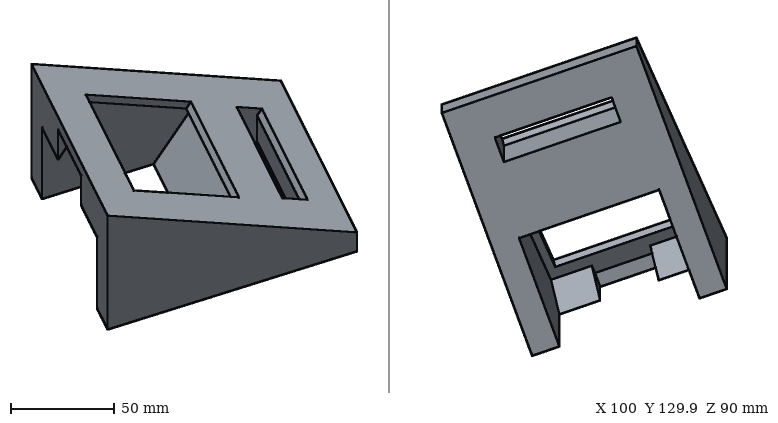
import cadquery as cq
import math

width = 100.0
depth = 129.9
height = 90.0
slope_angle = 30.0
slope_tan = math.tan(math.radians(slope_angle))
slope_cos = math.cos(math.radians(slope_angle))
slope_sin = math.sin(math.radians(slope_angle))
rear_height = height - depth * slope_tan

plate_thickness = 5.0
plate_bottom = height - plate_thickness / slope_cos
window_width = 63.0
window_length = 63.1
window_start = 24.3
slot_width = 60.0
slot_length = 15.1
slot_start = 114.3

cavity_width = 72.0
cavity_length = 78.3
cavity_start = 16.9
cavity_depth = 129.9

notch_width = 30.0
notch_top = 80.0
notch_base = 52.0


def slope_box(box_width, length, start, top, bottom):
    """Box aligned with the slope, between two depths measured square to its surface."""
    box = cq.Workplane("XY").box(box_width, length, bottom - top, centered=(True, False, False))
    box = box.translate((0, start, -bottom))
    return box.rotate((0, 0, 0), (1, 0, 0), -slope_angle).translate((0, 0, height))


def make_wedge():
    profile = [(0, 0), (depth, 0), (depth, rear_height), (0, height)]
    return cq.Workplane("YZ").polyline(profile).close().extrude(width / 2, both=True)


def make_notch():
    """Level-topped notch that stops at the front wall and underside of the cavity."""
    wall_y = cavity_start * slope_cos - plate_thickness * slope_sin
    wall_z = plate_bottom - wall_y * slope_tan
    ceiling_y = (plate_bottom - notch_top) / slope_tan
    profile = [
        (0, notch_base),
        (wall_y, notch_base),
        (wall_y, wall_z),
        (ceiling_y, notch_top),
        (0, notch_top),
    ]
    return cq.Workplane("YZ").polyline(profile).close().extrude(notch_width / 2, both=True)


def make_rear_pocket():
    """Upright pocket joining the underside of the slot to the base."""
    front_y = slot_start * slope_cos - plate_thickness * slope_sin
    rear_y = front_y + slot_length * slope_cos
    front_top = plate_bottom - front_y * slope_tan
    rear_top = plate_bottom - rear_y * slope_tan
    profile = [(front_y, 0), (rear_y, 0), (rear_y, rear_top), (front_y, front_top)]
    return cq.Workplane("YZ").polyline(profile).close().extrude(slot_width / 2, both=True)


result = make_wedge()
result = result.cut(slope_box(cavity_width, cavity_length, cavity_start, plate_thickness, cavity_depth))
result = result.cut(slope_box(window_width, window_length, window_start, 0, plate_thickness))
result = result.cut(make_notch())
result = result.cut(slope_box(slot_width, slot_length, slot_start, 0, plate_thickness))
result = result.cut(make_rear_pocket())